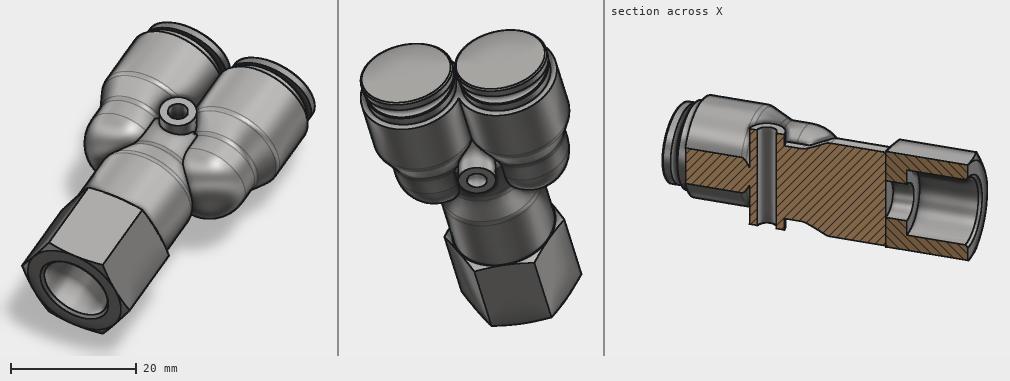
import cadquery as cq
import math


TOTAL_LENGTH = 52.6
TOTAL_WIDTH = 32.1
ACROSS_FLATS = 17.0

BARREL_RADIUS = 16.7 / 2
WAIST_RADIUS = 13.0 / 2
TAPER_LENGTH = 4.05
BLEND_RADIUS = 2.0
STEM_END_ROUND = 0.8
BRANCH_OFFSET = TOTAL_WIDTH / 2 - BARREL_RADIUS

NUT_TOP_Y = 14.1
STEM_TAPER_Y = 24.05
STEM_ROUND_Y = 33.6
BRANCH_DOME_Y = 30.95
BRANCH_TAPER_Y = 38.5
SOCKET_Y = 48.45
COLLAR_TOP_Y = 50.1
FLANGE_BOTTOM_Y = 51.1

BOSS_Y = 34.5
BOSS_RADIUS = 6.0 / 2
BOSS_HOLE_RADIUS = 3.2 / 2

CORNER_CHAMFER_LENGTH = 0.45
END_FACE_RADIUS = ACROSS_FLATS / 2
BORE_RADIUS = 11.45 / 2
BORE_DEPTH = 10.5
MOUTH_CHAMFER = 0.45
PASSAGE_RADIUS = 6.4 / 2

COLLAR_RADIUS = 14.7 / 2
COLLAR_CHAMFER = 0.15
NECK_RADIUS = 9.6 / 2
FLANGE_WIDTH = 15.05
FLANGE_HEIGHT = 13.05
FLANGE_CHAMFER = 0.25


def cylinder_along_y(radius, start_y, end_y, x=0.0):
    """Cylinder with its axis along Y, from start_y to a larger end_y."""
    plane = cq.Plane(origin=(x, start_y, 0), xDir=(1, 0, 0), normal=(0, 1, 0))
    return cq.Workplane(plane).circle(radius).extrude(end_y - start_y)


def barrel(flat_y, taper_y, round_y, end_round):
    """Round barrel on the Y axis: flat end, blended taper, waist and rounded end.

    taper_y is where the barrel radius would meet the cone without its blend.
    The waist rounds over from round_y with radius end_round; a radius equal to
    the waist's makes a full dome. The barrel may point either way along Y.
    """
    inward = 1 if round_y > flat_y else -1
    angle = math.atan((BARREL_RADIUS - WAIST_RADIUS) / TAPER_LENGTH)
    tangent = BLEND_RADIUS * math.tan(angle / 2)
    along_cone_y = inward * tangent * math.cos(angle)
    along_cone_r = tangent * math.sin(angle)
    sag = BLEND_RADIUS * (1 - math.cos(angle / 2))
    half_arc = inward * BLEND_RADIUS * math.sin(angle / 2)
    waist_y = taper_y + inward * TAPER_LENGTH
    blend_start_y = taper_y - inward * tangent
    blend_end_y = waist_y + inward * tangent
    end_y = round_y + inward * end_round
    face_radius = WAIST_RADIUS - end_round
    round_middle = end_round * math.sqrt(0.5)
    profile = (
        cq.Workplane("XY")
        .moveTo(0, flat_y)
        .lineTo(BARREL_RADIUS, flat_y)
        .lineTo(BARREL_RADIUS, blend_start_y)
        .threePointArc(
            (BARREL_RADIUS - sag, blend_start_y + half_arc),
            (BARREL_RADIUS - along_cone_r, taper_y + along_cone_y),
        )
        .lineTo(WAIST_RADIUS + along_cone_r, waist_y - along_cone_y)
        .threePointArc(
            (WAIST_RADIUS + sag, blend_end_y - half_arc),
            (WAIST_RADIUS, blend_end_y),
        )
        .lineTo(WAIST_RADIUS, round_y)
        .threePointArc(
            (face_radius + round_middle, round_y + inward * round_middle),
            (face_radius, end_y),
        )
    )
    if face_radius > 0:
        profile = profile.lineTo(0, end_y)
    return profile.close().revolve(360, (0, 0, 0), (0, 1, 0))


def make_housing():
    """Stem and two branches joined, with the drilled boss across them."""
    body = barrel(NUT_TOP_Y, STEM_TAPER_Y, STEM_ROUND_Y, STEM_END_ROUND)
    branch = barrel(SOCKET_Y, BRANCH_TAPER_Y, BRANCH_DOME_Y, WAIST_RADIUS)
    for side in (-1, 1):
        body = body.union(branch.translate((side * BRANCH_OFFSET, 0, 0)))
    boss_base = cq.Workplane("XY", origin=(0, BOSS_Y, -ACROSS_FLATS / 2))
    body = body.union(boss_base.circle(BOSS_RADIUS).extrude(ACROSS_FLATS))
    return body.cut(boss_base.circle(BOSS_HOLE_RADIUS).extrude(ACROSS_FLATS))


def make_nut():
    """Hex nut with corners chamfered at both ends and a stepped bore."""
    corner_radius = ACROSS_FLATS / math.sqrt(3)
    hexagon = (
        cq.Workplane(cq.Plane(origin=(0, 0, 0), xDir=(1, 0, 0), normal=(0, 1, 0)))
        .polygon(6, 2 * corner_radius)
        .extrude(NUT_TOP_Y)
    )
    envelope = (
        cq.Workplane("XY")
        .polyline([
            (0, 0),
            (END_FACE_RADIUS, 0),
            (corner_radius, CORNER_CHAMFER_LENGTH),
            (corner_radius, NUT_TOP_Y - CORNER_CHAMFER_LENGTH),
            (END_FACE_RADIUS, NUT_TOP_Y),
            (0, NUT_TOP_Y),
        ])
        .close()
        .revolve(360, (0, 0, 0), (0, 1, 0))
    )
    stepped_bore = (
        cq.Workplane("XY")
        .polyline([
            (0, 0),
            (BORE_RADIUS + MOUTH_CHAMFER, 0),
            (BORE_RADIUS, MOUTH_CHAMFER),
            (BORE_RADIUS, BORE_DEPTH),
            (PASSAGE_RADIUS, BORE_DEPTH),
            (PASSAGE_RADIUS, NUT_TOP_Y),
            (0, NUT_TOP_Y),
        ])
        .close()
        .revolve(360, (0, 0, 0), (0, 1, 0))
    )
    return hexagon.intersect(envelope).cut(stepped_bore)


def make_collar(x):
    """Round collar closing one branch socket."""
    collar = cylinder_along_y(COLLAR_RADIUS, SOCKET_Y, COLLAR_TOP_Y, x)
    return collar.faces(">Y").edges().chamfer(COLLAR_CHAMFER)


def make_sleeve(x):
    """Release sleeve: a round neck under an oval push flange."""
    flange_plane = cq.Plane(origin=(x, FLANGE_BOTTOM_Y, 0), xDir=(1, 0, 0), normal=(0, 1, 0))
    flange = (
        cq.Workplane(flange_plane)
        .ellipse(FLANGE_WIDTH / 2, FLANGE_HEIGHT / 2)
        .extrude(TOTAL_LENGTH - FLANGE_BOTTOM_Y)
        .faces(">Y").edges().chamfer(FLANGE_CHAMFER)
    )
    return flange.union(cylinder_along_y(NECK_RADIUS, COLLAR_TOP_Y, FLANGE_BOTTOM_Y, x))


housing = make_housing()
nut = make_nut()
collars = []
sleeves = []
for branch_x in (-BRANCH_OFFSET, BRANCH_OFFSET):
    collars.append(make_collar(branch_x).val())
    sleeves.append(make_sleeve(branch_x).val())

result = cq.Compound.makeCompound([housing.val(), nut.val(), *collars, *sleeves])